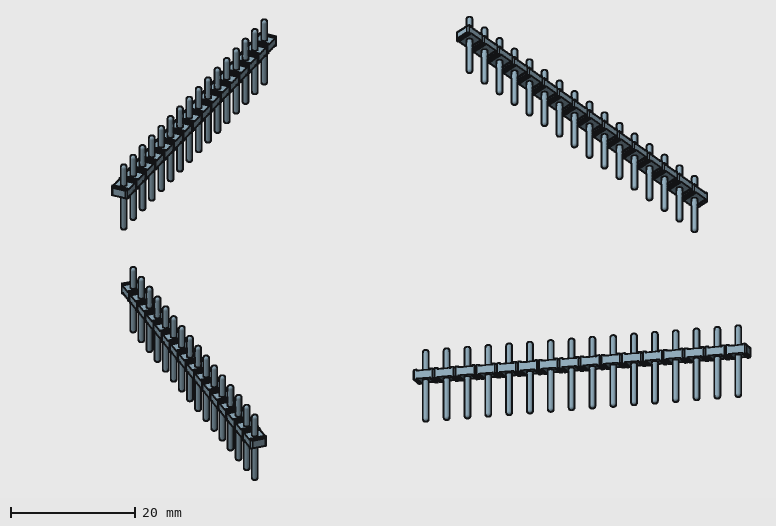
import cadquery as cq

length = 56
pin_count = 16
pitch = length / pin_count
height = 12.0

body_width = 2.8
body_height = 1.35
body_bottom = 6.95

rib_rise = 0.15
rib_length = 0.4
ribbed_height = body_height + 2 * rib_rise

neck_width = 2.2
neck_height = body_height
flank_length = 0.2
block_length = pitch - 2 * flank_length

pin_diameter = 1.0
pin_radius = pin_diameter / 2


def make_flank():
    """Taper along +Y from the ribbed end of a cell down to the neck."""
    return (
        cq.Workplane("XZ", origin=(0, block_length / 2, 0))
        .rect(body_width, ribbed_height)
        .workplane(offset=-flank_length)
        .rect(neck_width, neck_height)
        .loft()
    )


def make_cell():
    """One body cell centred on the origin."""
    cell = cq.Workplane("XY").box(body_width, block_length, body_height)
    rib_band = cq.Workplane("XY").box(body_width, rib_length, ribbed_height)
    rib_y = (block_length - rib_length) / 2
    for y in (-rib_y, rib_y):
        cell = cell.union(rib_band.translate((0, y, 0)))
    flank = make_flank()
    return cell.union(flank).union(flank.mirror("XZ"))


def make_pin():
    """Round pin with hemispherical tips, standing on Z = 0."""
    return (
        cq.Workplane("XZ")
        .radiusArc((pin_radius, pin_radius), -pin_radius)
        .lineTo(pin_radius, height - pin_radius)
        .radiusArc((0, height), -pin_radius)
        .close()
        .revolve(360, (0, 0, 0), (0, 1, 0))
    )


def make_contact():
    """One pin running through its body cell."""
    cell = make_cell().translate((0, 0, body_bottom + body_height / 2))
    return cell.union(make_pin())


contact = make_contact()
first_y = (pitch - length) / 2
result = contact.translate((0, first_y, 0))
for index in range(1, pin_count):
    result = result.union(contact.translate((0, first_y + index * pitch, 0)))